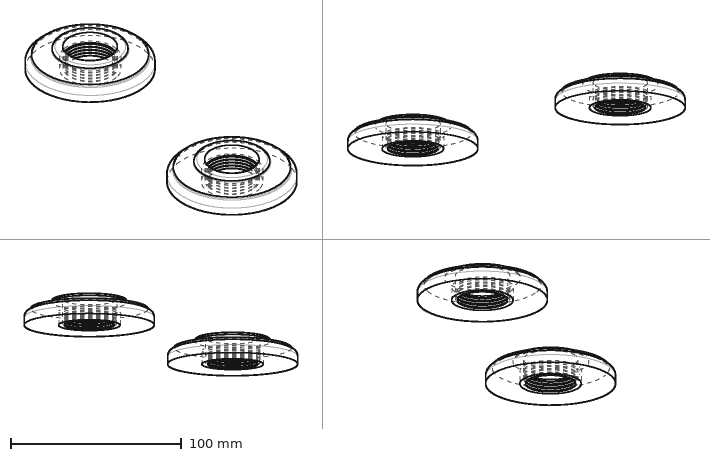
import cadquery as cq
import math

spacing = 152.4
centre_xs = (-spacing / 2, spacing / 2)

outer_radius = 76.2 / 2
total_height = 15.24
wall_height = 4.826
shoulder_top = 8.382

step_radius = 34.3
step_top = 9.87
step_fillet = 0.6

rim_radius = 22.225
rim_round = 1.524
rim_foot = total_height - rim_round
flare_radius = 22.69
flare_base = 13.29

bore_radius = 15.95
seat_radius = 18.0

insert_height = 8.2
ridge_count = 4
ridge_pitch = insert_height / ridge_count
crest_radius = 14.63
flank_angle = math.radians(30)
flank_height = (bore_radius - crest_radius) * math.tan(flank_angle)
flat_height = ridge_pitch / 2 - flank_height


def middle_of_tangent_arc(start, end, starts_vertical):
    """Middle point of the arc from `start` to `end` that leaves `start` vertically or horizontally."""
    dr = end[0] - start[0]
    dz = end[1] - start[1]
    along, across = (dz, dr) if starts_vertical else (dr, dz)
    signed_radius = (along**2 + across**2) / (2 * across)
    half_turn = math.atan2(abs(across), abs(along))
    mid_along = math.copysign(signed_radius * math.sin(half_turn), along)
    mid_across = signed_radius * (1 - math.cos(half_turn))
    if starts_vertical:
        return (start[0] + mid_across, start[1] + mid_along)
    return (start[0] + mid_along, start[1] + mid_across)


def revolve_about_z(profile):
    """Close a radius-height outline and turn it fully about Z."""
    return profile.close().revolve(360, (0, 0, 0), (0, 1, 0))


def make_escutcheon():
    shoulder_start = (outer_radius, wall_height)
    shoulder_end = (step_radius + step_fillet, shoulder_top)
    step_foot = (step_radius, shoulder_top + step_fillet)
    step_edge = (step_radius, step_top)
    flare_start = (flare_radius, flare_base)
    rim_start = (rim_radius, rim_foot)
    rim_end = (rim_radius - rim_round, total_height)

    profile = (
        cq.Workplane("XZ")
        .moveTo(seat_radius, 0)
        .lineTo(outer_radius, 0)
        .lineTo(*shoulder_start)
        .threePointArc(middle_of_tangent_arc(shoulder_start, shoulder_end, True), shoulder_end)
        .threePointArc(middle_of_tangent_arc(shoulder_end, step_foot, False), step_foot)
        .lineTo(*step_edge)
        .threePointArc(middle_of_tangent_arc(step_edge, flare_start, False), flare_start)
        .lineTo(*rim_start)
        .threePointArc(middle_of_tangent_arc(rim_start, rim_end, True), rim_end)
        .lineTo(bore_radius, total_height)
        .lineTo(bore_radius, insert_height)
        .lineTo(seat_radius, insert_height)
    )
    return revolve_about_z(profile)


def make_insert():
    profile = cq.Workplane("XZ").moveTo(seat_radius, 0).lineTo(crest_radius, 0)
    for ridge in range(ridge_count):
        crest_top = ridge * ridge_pitch + flat_height
        valley_base = crest_top + flank_height
        valley_top = valley_base + flat_height
        profile = (
            profile.lineTo(crest_radius, crest_top)
            .lineTo(bore_radius, valley_base)
            .lineTo(bore_radius, valley_top)
        )
        if ridge < ridge_count - 1:
            profile = profile.lineTo(crest_radius, valley_top + flank_height)
    profile = profile.lineTo(bore_radius, insert_height).lineTo(seat_radius, insert_height)
    return revolve_about_z(profile)


bodies = []
for centre_x in centre_xs:
    escutcheon = make_escutcheon().translate((centre_x, 0, 0))
    insert = make_insert().translate((centre_x, 0, 0))
    bodies.extend([escutcheon.val(), insert.val()])

result = cq.Compound.makeCompound(bodies)